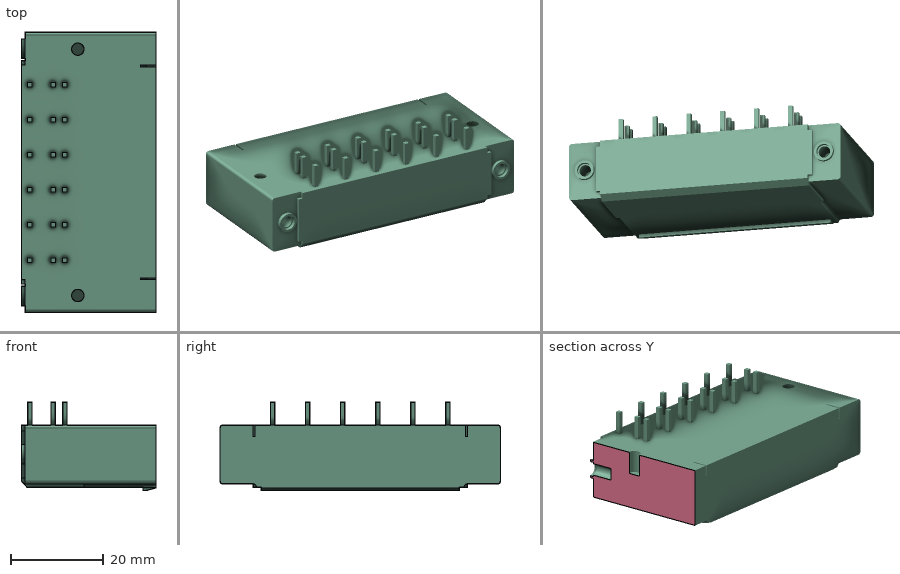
import cadquery as cq


LENGTH = 60.95
DEPTH = 29.25

BODY_WIDTH = 46.6
BODY_HEIGHT = 13.55
FRONT_CHAMFER_DEPTH = 1.2
FRONT_CHAMFER_HEIGHT = 1.35

FLANGE_WIDTH = 48.5
FLANGE_TOP = -1.35
FLANGE_BOTTOM = -11.45
FLANGE_THICKNESS = 0.8

BLOCK_HEIGHT = 12.8
BLOCK_WIDTH = (LENGTH - BODY_WIDTH) / 2
BLOCK_CENTER_Y = (LENGTH - BLOCK_WIDTH) / 2
BLOCK_EDGE_RADIUS = 0.6

BUSHING_Y = 26.9
BUSHING_Z = -6.35
BUSHING_RADIUS = 2.15
BUSHING_RECESS_RADIUS = 1.6
BUSHING_BORE_RADIUS = 1.3
BUSHING_BORE_DEPTH = 4.9

HOLE_X = 12.25
HOLE_Y = 26.75
HOLE_RADIUS = 1.35
HOLE_DEPTH = 4.9

PIN_SIZE = 1.0
PIN_HEIGHT = 5.0
PINS_PER_ROW = 6
PIN_PITCH = 7.6
PIN_ROWS_X = (1.8, 6.9, 9.45)

COVE_START_X = 13.6
COVE_RADIUS = BODY_HEIGHT - BLOCK_HEIGHT

LIP_START_X = 26.4
LIP_WIDTH = 43.05
LIP_HEIGHT = 0.75
LIP_FLAT = 0.75
LIP_REAR_HEIGHT = 0.1

SLOT_START_X = 25.85
SLOT_RAMP = 1.35
SLOT_WIDTH = 0.35
SLOT_DEPTH = 2.45


def extrude_along_y(profile_points, width, center_y=0.0):
    """Extrude an XZ outline to the given width, centred on center_y."""
    plane = cq.Workplane("XZ", origin=(0, center_y, 0))
    return plane.polyline(profile_points).close().extrude(width / 2, both=True)


def front_cylinder(radius, start_x, length, y):
    """Cylinder along +X at bushing height."""
    plane = cq.Workplane("YZ", origin=(start_x, y, BUSHING_Z))
    return plane.circle(radius).extrude(length)


def make_body():
    outline = [
        (0, 0),
        (DEPTH, 0),
        (DEPTH, -BODY_HEIGHT),
        (FRONT_CHAMFER_DEPTH, -BODY_HEIGHT),
        (0, -BODY_HEIGHT + FRONT_CHAMFER_HEIGHT),
    ]
    body = extrude_along_y(outline, BODY_WIDTH)
    flange_height = FLANGE_TOP - FLANGE_BOTTOM
    flange = cq.Workplane("XY").box(
        FLANGE_THICKNESS, FLANGE_WIDTH, flange_height, centered=(False, True, False)
    )
    return body.union(flange.translate((0, 0, FLANGE_BOTTOM)))


def make_lip():
    outline = [
        (LIP_START_X, -BODY_HEIGHT),
        (LIP_START_X, -BODY_HEIGHT - LIP_HEIGHT),
        (LIP_START_X + LIP_FLAT, -BODY_HEIGHT - LIP_HEIGHT),
        (DEPTH, -BODY_HEIGHT - LIP_REAR_HEIGHT),
        (DEPTH, -BODY_HEIGHT),
    ]
    return extrude_along_y(outline, LIP_WIDTH)


def make_cove(side):
    """Quarter-round cutter centred on the lower side edge of the body."""
    plane = cq.Workplane("YZ", origin=(COVE_START_X, side * BODY_WIDTH / 2, -BODY_HEIGHT))
    return plane.circle(COVE_RADIUS).extrude(DEPTH - COVE_START_X)


def make_slot(side):
    """Slot cutter with a ramped front end, open at the rear face."""
    outline = [
        (SLOT_START_X, 0),
        (DEPTH, 0),
        (DEPTH, -SLOT_DEPTH),
        (SLOT_START_X + SLOT_RAMP, -SLOT_DEPTH),
    ]
    return extrude_along_y(outline, SLOT_WIDTH, side * (BODY_WIDTH - SLOT_WIDTH) / 2)


def make_end_block(side):
    block = cq.Workplane("XY").box(
        DEPTH - FLANGE_THICKNESS, BLOCK_WIDTH, BLOCK_HEIGHT, centered=(False, True, False)
    )
    outer_face = ">Y" if side > 0 else "<Y"
    block = block.faces(outer_face).edges("|X").fillet(BLOCK_EDGE_RADIUS)
    block = block.translate((FLANGE_THICKNESS, side * BLOCK_CENTER_Y, -BLOCK_HEIGHT))

    bushing_y = side * BUSHING_Y
    bushing = front_cylinder(BUSHING_RADIUS, 0, FLANGE_THICKNESS, bushing_y)
    recess = front_cylinder(BUSHING_RECESS_RADIUS, 0, FLANGE_THICKNESS, bushing_y)
    bore = front_cylinder(BUSHING_BORE_RADIUS, FLANGE_THICKNESS, BUSHING_BORE_DEPTH, bushing_y)
    hole = (
        cq.Workplane("XY")
        .center(HOLE_X, side * HOLE_Y)
        .circle(HOLE_RADIUS)
        .extrude(-HOLE_DEPTH)
    )
    return block.union(bushing).cut(recess).cut(bore).cut(hole)


def make_pins():
    first_pin_y = -PIN_PITCH * (PINS_PER_ROW - 1) / 2
    positions = [
        (row_x, first_pin_y + index * PIN_PITCH)
        for row_x in PIN_ROWS_X
        for index in range(PINS_PER_ROW)
    ]
    return cq.Workplane("XY").pushPoints(positions).rect(PIN_SIZE, PIN_SIZE).extrude(PIN_HEIGHT)


body = make_body().union(make_lip())
for side in (-1, 1):
    body = body.cut(make_cove(side)).cut(make_slot(side))

result = body.union(make_pins())
for side in (-1, 1):
    result = result.union(make_end_block(side))